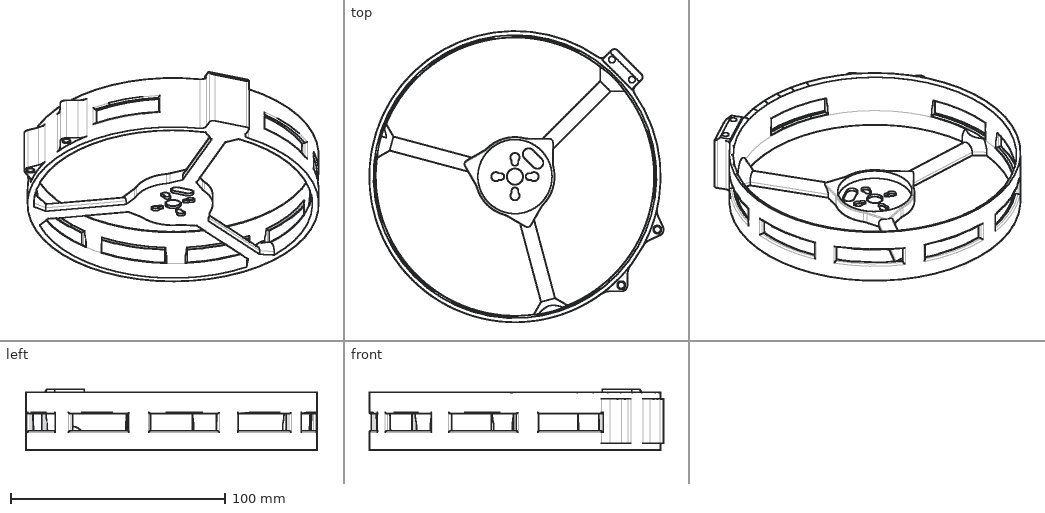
import cadquery as cq
import math

RING_RADIUS = 68.0
RING_HEIGHT = 27.0
LIP_RADIUS = 66.0
LIP_DROP = 1.2
THROAT_RADIUS = 65.0
THROAT_Z = 8.1
RING_SEAM_ANGLE = 41

WINDOW_COUNT = 10
WINDOW_PITCH = 360 / WINDOW_COUNT
FIRST_WINDOW_ANGLE = 5
SOLID_POSITIONS = (1, 9)
WINDOW_SPAN = 27
WINDOW_BOTTOM = 9.0
WINDOW_HEIGHT = 7.8
WINDOW_WALL_RADIUS = 65.2
WINDOW_INNER_REACH = 59
WINDOW_OUTER_REACH = RING_RADIUS + 5.5
WINDOW_EDGE_FILLET = 0.8
WINDOW_MID_Z = WINDOW_BOTTOM + WINDOW_HEIGHT / 2

HUB_RADIUS = 18.5
HUB_HEIGHT = 5.5
HUB_POCKET_RADIUS = 17.3
HUB_FLOOR = 1.4
HUB_EDGE_FILLET = 0.4
LOBE_APEX_RADIUS = 25.1
LOBE_TIP_FILLET = 1.1
LOBE_BLEND_FILLET = 6.9

SHAFT_HOLE_RADIUS = 3.7
SCREW_COUNT = 4
SCREW_HEAD_PLACE = 8.9
SCREW_HEAD_RADIUS = 2.0
SCREW_NECK_PLACE = 6.6
SCREW_NECK_RADIUS = 1.5
CABLE_HOLE_PLACE = 12.0
CABLE_HOLE_WIDTH = 5.4
CABLE_HOLE_LENGTH = 11.1
CABLE_HOLE_ANGLE = 45

SPOKE_ANGLES = (45, 165, 285)
SPOKE_HALF_WIDTH = 3.5
ARCH_Z = 2.0
SPOKE_START = 19.2
FLARE_START = 59.6
FLARE_END = 66.2

LUG_ANGLES = (-45.6, -20.4)
LUG_HOLE_PLACE = 70.9
LUG_NOSE_RADIUS = 2.95
LUG_BOTTOM = 3.2
LUG_HEIGHT = 20.7
LUG_BLEND_FILLET = 6.9
LUG_HOLE_RADIUS = 1.5
LUG_HOLE_CHAMFER = 0.4

PAD_ANGLE = 45
PAD_INNER = 67.3
PAD_OUTER = 75.5
PAD_WIDTH = 19.6
PAD_RISE = 1.4
PAD_CORNER_FILLET = 1.9
PAD_CHAMFER = 3.2
PAD_BLEND_FILLET = 2.7
PAD_HOLE_PLACE = 70.6
PAD_HOLE_SPACING = 13.2
PAD_HOLE_RADIUS = 1.5
PAD_HOLE_DEPTH = 5.5


def turn(body, angle):
    return body.rotate((0, 0, 0), (0, 0, 1), angle)


def disc(radius, height):
    return cq.Workplane("XY").circle(radius).extrude(height)


def wedge(apex_radius, base_radius, height):
    """Right-angled wedge along +X whose nose lies at apex_radius."""
    half_base = apex_radius - base_radius
    return (
        cq.Workplane("XY")
        .moveTo(0, -half_base)
        .lineTo(base_radius, -half_base)
        .lineTo(apex_radius, 0)
        .lineTo(base_radius, half_base)
        .lineTo(0, half_base)
        .close()
        .extrude(height)
    )


def vertical_edges_at(body, radius, tolerance=0.07):
    """Upright edges of a body lying on a cylinder about the Z axis."""
    edges = []
    for edge in body.edges("|Z").vals():
        middle = edge.Center()
        if abs(math.hypot(middle.x, middle.y) - radius) < tolerance:
            edges.append(edge)
    return edges


def ring_wall():
    """Plain wall: straight below the throat, tapered up to the lip, then bell-mouthed."""
    lip_z = RING_HEIGHT - LIP_DROP
    lip_width = RING_RADIUS - LIP_RADIUS
    lip_middle = (
        RING_RADIUS - lip_width * math.sin(math.radians(45)),
        lip_z + LIP_DROP * math.cos(math.radians(45)),
    )
    return (
        cq.Workplane("XZ")
        .moveTo(RING_RADIUS, 0)
        .lineTo(THROAT_RADIUS, 0)
        .lineTo(THROAT_RADIUS, THROAT_Z)
        .lineTo(LIP_RADIUS, lip_z)
        .threePointArc(lip_middle, (RING_RADIUS, RING_HEIGHT))
        .close()
        .revolve(360, (0, 0, 0), (0, 1, 0))
    )


def flared_outline(plane, place):
    """Closed outline of a window seen edge-on, flaring round at both faces of the wall.

    place(radius, growth, side) gives the point at a distance from the axis, moved
    outwards from the window edge by growth, on side +1 or -1.
    """
    fillet = WINDOW_EDGE_FILLET
    inset = fillet * (1 - math.cos(math.radians(45)))
    inner = WINDOW_WALL_RADIUS
    outer = RING_RADIUS
    return (
        cq.Workplane(plane)
        .moveTo(*place(WINDOW_INNER_REACH, fillet, -1))
        .lineTo(*place(inner, fillet, -1))
        .threePointArc(place(inner + inset, inset, -1), place(inner + fillet, 0, -1))
        .lineTo(*place(outer - fillet, 0, -1))
        .threePointArc(place(outer - inset, inset, -1), place(outer, fillet, -1))
        .lineTo(*place(WINDOW_OUTER_REACH, fillet, -1))
        .lineTo(*place(WINDOW_OUTER_REACH, fillet, 1))
        .lineTo(*place(outer, fillet, 1))
        .threePointArc(place(outer - inset, inset, 1), place(outer - fillet, 0, 1))
        .lineTo(*place(inner + fillet, 0, 1))
        .threePointArc(place(inner + inset, inset, 1), place(inner, fillet, 1))
        .lineTo(*place(WINDOW_INNER_REACH, fillet, 1))
        .close()
    )


def window_cutter():
    """Window on +X with rounded mouths, mitred where its sides meet."""

    def upright(radius, growth, side):
        return radius, WINDOW_MID_Z + side * (WINDOW_HEIGHT / 2 + growth)

    def level(radius, growth, side):
        angle = side * (math.radians(WINDOW_SPAN / 2) + growth / RING_RADIUS)
        return radius * math.cos(angle), radius * math.sin(angle)

    band = flared_outline("XZ", upright).revolve(90, (0, 0, 0), (0, 1, 0))
    sector = flared_outline("XY", level).extrude(RING_HEIGHT)
    return turn(band, -45).intersect(sector)


def arch(radius, half_width):
    """Flat-bottomed arch section standing at the given distance along X."""
    return (
        cq.Workplane("YZ", origin=(radius, 0, 0))
        .moveTo(-half_width, 0)
        .lineTo(-half_width, ARCH_Z)
        .threePointArc((0, ARCH_Z + half_width), (half_width, ARCH_Z))
        .lineTo(half_width, 0)
        .close()
    )


def spoke():
    """One spoke along +X with its flare into the ring wall."""
    shaft = arch(SPOKE_START, SPOKE_HALF_WIDTH).extrude(FLARE_START - SPOKE_START)
    wide = SPOKE_HALF_WIDTH + FLARE_END - FLARE_START
    flare = cq.Solid.makeLoft(
        [
            arch(FLARE_START, SPOKE_HALF_WIDTH).wires().val(),
            arch(FLARE_END, wide).wires().val(),
        ],
        True,
    )
    return shaft.union(cq.Workplane(flare))


def hub_body():
    """Solid hub disc with three blended lobes."""
    body = disc(HUB_RADIUS, HUB_HEIGHT)
    lobe = wedge(LOBE_APEX_RADIUS, HUB_RADIUS - 5.5, HUB_HEIGHT)
    lobe = lobe.edges(">X").fillet(LOBE_TIP_FILLET)
    for angle in SPOKE_ANGLES:
        body = body.union(turn(lobe, angle))
    body = body.newObject(vertical_edges_at(body, HUB_RADIUS)).fillet(LOBE_BLEND_FILLET)
    return body.faces(">Z").edges().fillet(HUB_EDGE_FILLET)


def hub_openings():
    """Motor pocket with the shaft hole, screw keyholes and cable hole below it."""
    depth = HUB_HEIGHT
    openings = disc(HUB_POCKET_RADIUS, HUB_HEIGHT).translate((0, 0, HUB_FLOOR))
    openings = openings.union(disc(SHAFT_HOLE_RADIUS, depth))
    keyhole = (
        cq.Workplane("XY")
        .center((SCREW_HEAD_PLACE + SCREW_NECK_PLACE) / 2, 0)
        .slot2D(SCREW_HEAD_PLACE - SCREW_NECK_PLACE + 2 * SCREW_NECK_RADIUS, 2 * SCREW_NECK_RADIUS)
        .extrude(depth)
        .union(disc(SCREW_HEAD_RADIUS, depth).translate((SCREW_HEAD_PLACE, 0, 0)))
    )
    for index in range(SCREW_COUNT):
        openings = openings.union(turn(keyhole, index * 360 / SCREW_COUNT))
    cable_hole = (
        cq.Workplane("XY")
        .center(CABLE_HOLE_PLACE, 0)
        .slot2D(CABLE_HOLE_LENGTH, CABLE_HOLE_WIDTH, 90)
        .extrude(depth)
    )
    return openings.union(turn(cable_hole, CABLE_HOLE_ANGLE))


def lugs():
    """Both screw lugs, blended into a disc that is later bored out to the ring wall."""
    body = disc(RING_RADIUS, LUG_HEIGHT)
    apex_radius = LUG_HOLE_PLACE + LUG_NOSE_RADIUS * math.sqrt(2)
    lug = wedge(apex_radius, THROAT_RADIUS, LUG_HEIGHT).edges(">X").fillet(LUG_NOSE_RADIUS)
    for angle in LUG_ANGLES:
        body = body.union(turn(lug, angle))
    body = body.newObject(vertical_edges_at(body, RING_RADIUS)).fillet(LUG_BLEND_FILLET)
    hole = disc(LUG_HOLE_RADIUS, LUG_HEIGHT)
    mouth = LUG_HOLE_RADIUS + LUG_HOLE_CHAMFER
    flare = cq.Workplane(cq.Solid.makeCone(mouth, LUG_HOLE_RADIUS, LUG_HOLE_CHAMFER))
    hole = hole.union(flare).union(flare.mirror("XY").translate((0, 0, LUG_HEIGHT)))
    for angle in LUG_ANGLES:
        body = body.cut(turn(hole.translate((LUG_HOLE_PLACE, 0, 0)), angle))
    return body.translate((0, 0, LUG_BOTTOM))


def slab(inner, outer, height):
    """Pad-wide block along +X between two distances from the axis."""
    block = cq.Workplane("XY").box(outer - inner, PAD_WIDTH, height, centered=(False, True, False))
    return block.translate((inner, 0, 0))


def pad():
    """Mounting pad with a chamfered outer edge and two blind screw holes."""
    top = RING_HEIGHT + PAD_RISE
    block = slab(THROAT_RADIUS, PAD_OUTER, RING_HEIGHT)
    body = disc(RING_RADIUS, RING_HEIGHT).union(block)
    body = body.newObject(vertical_edges_at(body, RING_RADIUS)).fillet(PAD_BLEND_FILLET)
    plate = slab(PAD_INNER, PAD_OUTER, PAD_RISE)
    body = body.union(plate.translate((0, 0, RING_HEIGHT)))
    corner_radius = math.hypot(PAD_OUTER, PAD_WIDTH / 2)
    body = body.newObject(vertical_edges_at(body, corner_radius)).fillet(PAD_CORNER_FILLET)
    bevel = (
        cq.Workplane("XZ")
        .moveTo(PAD_OUTER, top)
        .lineTo(PAD_OUTER - PAD_CHAMFER, top)
        .lineTo(PAD_OUTER, top - PAD_CHAMFER)
        .close()
        .extrude(PAD_WIDTH / 2, both=True)
    )
    holes = (
        cq.Workplane("XY", origin=(PAD_HOLE_PLACE, 0, top - PAD_HOLE_DEPTH))
        .pushPoints([(0, -PAD_HOLE_SPACING / 2), (0, PAD_HOLE_SPACING / 2)])
        .circle(PAD_HOLE_RADIUS)
        .extrude(PAD_HOLE_DEPTH)
    )
    return turn(body.cut(bevel).cut(holes), PAD_ANGLE)


ring_core = disc(RING_RADIUS, RING_HEIGHT)
result = turn(ring_wall(), RING_SEAM_ANGLE)
result = result.union(lugs().cut(ring_core)).union(pad().cut(ring_core))
for spoke_angle in SPOKE_ANGLES:
    result = result.union(turn(spoke(), spoke_angle))
for position in range(WINDOW_COUNT):
    if position not in SOLID_POSITIONS:
        result = result.cut(turn(window_cutter(), FIRST_WINDOW_ANGLE + position * WINDOW_PITCH))
result = result.union(hub_body()).cut(hub_openings())